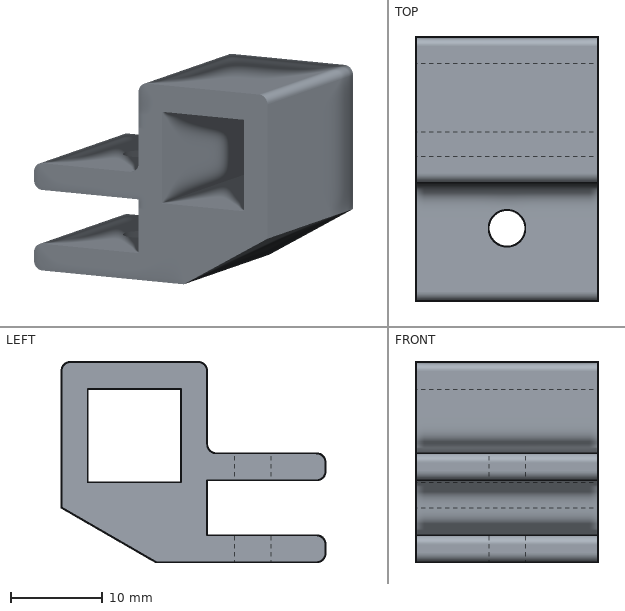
import cadquery as cq
import math

width = 20.0
depth = 29.0
height = 22.0

body_depth = 16.0
arm_thickness = 3.0
arm_gap = 6.0
edge_radius = 1.02
slope_height = 6.0
slope_angle = 30.0

socket_side = 10.2
socket_roof = 3.0

pin_diameter = 4.0
pin_from_tip = 8.0

body_front = depth - body_depth
upper_arm_bottom = arm_thickness + arm_gap
upper_arm_top = upper_arm_bottom + arm_thickness
slope_run = slope_height / math.tan(math.radians(slope_angle))


def edge_at(y, z):
    """Select the edge along X that passes through the given profile corner."""
    return cq.selectors.NearestToPointSelector((width / 2, y, z))


def clevis_body():
    """Extrude the side profile along X and round its exposed corners."""
    outline = [
        (0, 0),
        (depth - slope_run, 0),
        (depth, slope_height),
        (depth, height),
        (body_front, height),
        (body_front, upper_arm_top),
        (0, upper_arm_top),
        (0, upper_arm_bottom),
        (body_front, upper_arm_bottom),
        (body_front, arm_thickness),
        (0, arm_thickness),
    ]
    rounded_corners = [
        (0, 0),
        (0, arm_thickness),
        (0, upper_arm_bottom),
        (0, upper_arm_top),
        (body_front, upper_arm_top),
        (body_front, height),
        (depth, height),
    ]
    body = cq.Workplane("YZ").polyline(outline).close().extrude(width)
    for y, z in rounded_corners:
        body = body.edges("|X").edges(edge_at(y, z)).fillet(edge_radius)
    return body


def socket():
    """Square passage through the full width."""
    centre_y = body_front + body_depth / 2
    centre_z = height - socket_roof - socket_side / 2
    return (
        cq.Workplane("YZ")
        .center(centre_y, centre_z)
        .rect(socket_side, socket_side)
        .extrude(width)
    )


def pin_hole():
    """Vertical hole through both arms."""
    return (
        cq.Workplane("XY")
        .center(width / 2, pin_from_tip)
        .circle(pin_diameter / 2)
        .extrude(upper_arm_top)
    )


result = clevis_body().cut(socket()).cut(pin_hole())